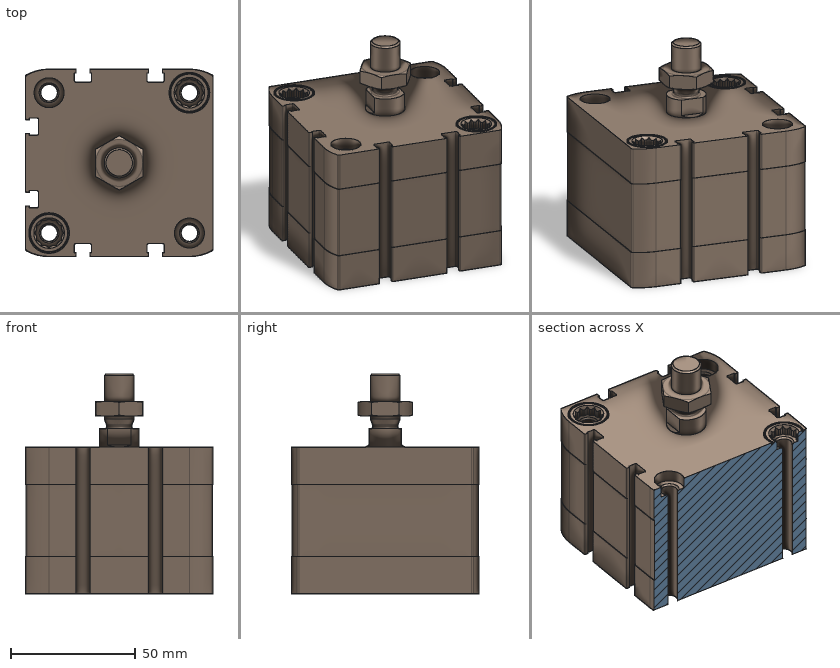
import cadquery as cq
import math

housing_width = 75.5
housing_height = 59.0
cap_height = 15.0
barrel_inset = 0.2
corner_arc_radius = 19.0
corner_edge_radius = 1.0

slot_offset = 14.6
slot_mouth_width = 5.5
slot_mouth_radius = 0.35
slot_lip_depth = 1.6
slot_pocket_width = 6.8
slot_depth = 5.2
slot_floor_radius = 0.5
slot_face_angles = (0, 90, 180)

hole_offset = 28.2
bore_diameter = 6.6
thread_diameter = 8.0
counterbore_diameter = 12.0
counterbore_depth = 4.8

socket_mouth_diameter = 12.3
socket_tip_diameter = 10.6
socket_root_diameter = 11.7
socket_tip_width = 1.0
socket_depth = 4.3
socket_points = 12
socket_taper_angle = 30
groove_outer_diameter = 16.4
groove_inner_diameter = 15.5
groove_depth = 0.9
groove_chamfer = 0.3

total_height = 88.5
rod_diameter = 16.0
rod_shoulder_height = 7.4
flat_width = 13.0
flat_ramp_angle = 30
thread_size = 12.0
thread_chamfer = 0.7
neck_diameter = 10.2
neck_fillet = 0.6
neck_length = 1.4
neck_blend_radius = 1.1
thread_runout = 2.6

nut_width = 19.0
nut_height = 5.9
nut_top = 77.4
nut_face_diameter = 18.9
nut_chamfer_angle = 15


def block(inset, bottom, height):
    """Square block whose front and back faces curve away at the corners."""
    half = housing_width / 2 - inset
    radius = corner_arc_radius - inset
    centre_y = half - radius
    end_angle = math.acos((half - hole_offset) / radius)
    mid_angle = (end_angle + math.pi / 2) / 2
    mid = (hole_offset + radius * math.cos(mid_angle), centre_y + radius * math.sin(mid_angle))
    end = (half, centre_y + radius * math.sin(end_angle))
    body = (
        cq.Workplane("XY", origin=(0, 0, bottom))
        .moveTo(-hole_offset, half)
        .lineTo(hole_offset, half)
        .threePointArc(mid, end)
        .lineTo(end[0], -end[1])
        .threePointArc((mid[0], -mid[1]), (hole_offset, -half))
        .lineTo(-hole_offset, -half)
        .threePointArc((-mid[0], -mid[1]), (-end[0], -end[1]))
        .lineTo(-end[0], end[1])
        .threePointArc((-mid[0], mid[1]), (-hole_offset, half))
        .close()
        .extrude(height)
    )
    return body.edges("|Z").edges(">X or <X").fillet(corner_edge_radius - inset)


def slot_cutter(inset, bottom, height):
    """T-slot cutter with a rounded mouth, opening through the back (+Y) face."""
    face = housing_width / 2 - inset
    lip = housing_width / 2 - slot_lip_depth
    floor = housing_width / 2 - slot_depth
    mouth = slot_mouth_width / 2
    flare = mouth + slot_mouth_radius
    pocket = slot_pocket_width / 2
    sag = slot_mouth_radius * (1 - math.sqrt(0.5))
    cutter = (
        cq.Workplane("XY", origin=(0, 0, bottom))
        .moveTo(-flare, face)
        .lineTo(flare, face)
        .threePointArc((mouth + sag, face - sag), (mouth, face - slot_mouth_radius))
        .lineTo(mouth, lip)
        .lineTo(pocket, lip)
        .lineTo(pocket, floor)
        .lineTo(-pocket, floor)
        .lineTo(-pocket, lip)
        .lineTo(-mouth, lip)
        .lineTo(-mouth, face - slot_mouth_radius)
        .threePointArc((-mouth - sag, face - sag), (-flare, face))
        .close()
        .extrude(height)
    )
    return cutter.edges("|Z and <Y").fillet(slot_floor_radius)


def section(inset, bottom, height):
    """One length of the housing with its pairs of T-slots."""
    body = block(inset, bottom, height)
    cutter = slot_cutter(inset, bottom, height)
    for face_angle in slot_face_angles:
        for side in (-1, 1):
            slot = cutter.translate((side * slot_offset, 0, 0))
            body = body.cut(slot.rotate((0, 0, 0), (0, 0, 1), face_angle))
    return body


def revolve_profile(points):
    """Solid of revolution about Z from (radius, z) points."""
    return cq.Workplane("XZ").polyline(points).close().revolve(360, (0, 0, 0), (0, 1, 0))


def threaded_bore(mouth_z):
    """Through bore with a 45 degree lead-in that starts at mouth_z."""
    bore = bore_diameter / 2
    lead = thread_diameter / 2
    return revolve_profile([(0, 0), (bore, 0), (bore, mouth_z - (lead - bore)), (lead, mouth_z), (0, mouth_z)])


def plain_hole():
    """Counterbored corner hole."""
    floor_z = housing_height - counterbore_depth
    counterbore = (
        cq.Workplane("XY", origin=(0, 0, floor_z)).circle(counterbore_diameter / 2).extrude(counterbore_depth)
    )
    return counterbore.union(threaded_bore(floor_z))


def socket_outline():
    """Points of the socket: a sharp root, then a narrow flat tip, for each tooth."""
    pitch = 2 * math.pi / socket_points
    half_tip = math.asin(socket_tip_width / socket_tip_diameter)
    points = []
    for index in range(socket_points):
        root = index * pitch
        tip = root + pitch / 2
        for radius, angle in (
            (socket_root_diameter / 2, root),
            (socket_tip_diameter / 2, tip - half_tip),
            (socket_tip_diameter / 2, tip + half_tip),
        ):
            points.append((radius * math.cos(angle), radius * math.sin(angle)))
    return points


def socket_hole():
    """Corner hole with a tapered twelve-point socket inside a ring groove with a chamfered inner edge."""
    floor_z = housing_height - socket_depth
    mouth = socket_mouth_diameter / 2
    taper_floor = mouth - socket_depth * math.tan(math.radians(socket_taper_angle))
    outer = groove_outer_diameter / 2
    inner = groove_inner_diameter / 2
    teeth = cq.Workplane("XY", origin=(0, 0, floor_z)).polyline(socket_outline()).close().extrude(socket_depth)
    taper = revolve_profile([(0, floor_z), (taper_floor, floor_z), (mouth, housing_height), (0, housing_height)])
    groove = revolve_profile(
        [
            (inner - groove_chamfer, housing_height),
            (outer, housing_height),
            (outer, housing_height - groove_depth),
            (inner, housing_height - groove_depth),
            (inner, housing_height - groove_chamfer),
        ]
    )
    return teeth.union(taper).union(threaded_bore(floor_z)).union(groove)


def build_housing():
    barrel_height = housing_height - 2 * cap_height
    body = section(0, 0, cap_height)
    body = body.union(section(barrel_inset, cap_height, barrel_height))
    body = body.union(section(0, housing_height - cap_height, cap_height))
    for side in (-1, 1):
        body = body.cut(plain_hole().translate((side * hole_offset, -side * hole_offset, 0)))
        body = body.cut(socket_hole().translate((side * hole_offset, side * hole_offset, 0)))
    return body


def build_rod():
    base = housing_height
    shoulder = base + rod_shoulder_height
    rod = rod_diameter / 2
    neck = neck_diameter / 2
    thread = thread_size / 2
    neck_top = shoulder + neck_length
    sag = neck_fillet * (1 - math.sqrt(0.5))
    body = (
        cq.Workplane("XZ")
        .moveTo(0, base)
        .lineTo(rod, base)
        .lineTo(rod, shoulder)
        .lineTo(neck + neck_fillet, shoulder)
        .threePointArc((neck + sag, shoulder + sag), (neck, shoulder + neck_fillet))
        .lineTo(neck, neck_top)
        .lineTo(thread, neck_top + thread_runout)
        .lineTo(thread, total_height - thread_chamfer)
        .lineTo(thread - thread_chamfer, total_height)
        .lineTo(0, total_height)
        .close()
        .revolve(360, (0, 0, 0), (0, 1, 0))
        .edges(cq.NearestToPointSelector((0, 0, neck_top)))
        .fillet(neck_blend_radius)
    )
    flat = flat_width / 2
    ramp_height = (rod - flat) * math.tan(math.radians(flat_ramp_angle))
    flat_cutter = (
        cq.Workplane("YZ")
        .polyline([(rod, base), (flat, base + ramp_height), (flat, shoulder), (rod, shoulder)])
        .close()
        .extrude(rod, both=True)
    )
    return body.cut(flat_cutter).cut(flat_cutter.mirror("XZ"))


def build_nut():
    bottom = nut_top - nut_height
    corner = nut_width / math.sqrt(3)
    face = nut_face_diameter / 2
    drop = (corner - face) * math.tan(math.radians(nut_chamfer_angle))
    hexagon = (
        cq.Workplane("XY", origin=(0, 0, bottom))
        .polygon(6, 2 * corner)
        .extrude(nut_height)
        .rotate((0, 0, 0), (0, 0, 1), 90)
    )
    envelope = revolve_profile(
        [
            (0, bottom),
            (face, bottom),
            (corner, bottom + drop),
            (corner, nut_top - drop),
            (face, nut_top),
            (0, nut_top),
        ]
    )
    bore = cq.Workplane("XY", origin=(0, 0, bottom)).circle(thread_size / 2).extrude(nut_height)
    return hexagon.intersect(envelope).cut(bore)


housing = build_housing()
rod = build_rod()
nut = build_nut()

result = cq.Compound.makeCompound([housing.val(), rod.val(), nut.val()])